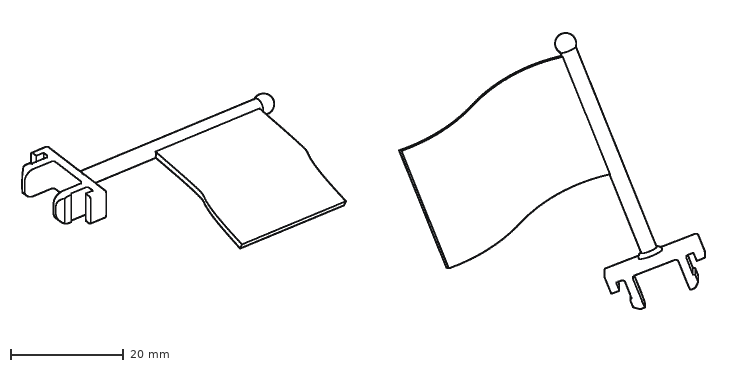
import cadquery as cq
import math


base_width = 18.0
base_depth = 5.9
plate_thickness = 2.05
skirt_length = 3.65
skirt_thickness = 1.6
base_round = 0.5

leg_inner = 4.35
leg_outer = 5.9
leg_length = 8.5
leg_root_round = 0.5
barb_outer = 6.25
barb_start = 5.75
barb_full = 5.95
barb_taper_start = 7.4
leg_tip_outer = 5.1
leg_corner_round = 1.95

pole_radius = 1.5
collar_radius = 2.25
ball_radius = 1.9
overall_length = 51.6
overall_width = 43.85
ball_center = overall_length - leg_length - ball_radius

flag_thickness = 1.25
flag_end = overall_width - base_width / 2
flag_height = 23.0
bend_radius = 22.2
bend_peak_x = 26.2
bend_joint_x = 17.45
bend_top = base_depth / 2
edge_radius = 25.55
edge_crest_x = 7.0
edge_joint_x = 19.35
edge_crest_y = 39.9
edge_overrun = 2.6


def make_base():
    plate = (
        cq.Workplane("XY")
        .box(base_width, skirt_length, base_depth)
        .translate((0, -skirt_length / 2, 0))
        .edges("|Y or >Y")
        .fillet(base_round)
    )
    recess_depth = skirt_length - plate_thickness
    recess = cq.Workplane("XY").box(base_width - 2 * skirt_thickness, recess_depth, base_depth)
    return plate.cut(recess.translate((0, -plate_thickness - recess_depth / 2, 0)))


def make_leg():
    """Snap leg on the +X side, with flared roots, a barb and rounded free corners."""
    root_y = -plate_thickness
    overlap_y = root_y / 2
    leg = (
        cq.Workplane("XY")
        .moveTo(leg_inner - leg_root_round, overlap_y)
        .lineTo(leg_inner - leg_root_round, root_y)
        .radiusArc((leg_inner, root_y - leg_root_round), leg_root_round)
        .lineTo(leg_inner, -leg_length)
        .lineTo(leg_tip_outer, -leg_length)
        .lineTo(barb_outer, -barb_taper_start)
        .lineTo(barb_outer, -barb_full)
        .lineTo(leg_outer, -barb_start)
        .lineTo(leg_outer, root_y - leg_root_round)
        .radiusArc((leg_outer + leg_root_round, root_y), leg_root_round)
        .lineTo(leg_outer + leg_root_round, overlap_y)
        .close()
        .extrude(base_depth / 2, both=True)
    )
    rounded_side = (
        cq.Workplane("XY")
        .box(base_width / 2, leg_length, base_depth)
        .translate((base_width / 4, -leg_length / 2, 0))
        .edges("|X and <Y")
        .fillet(leg_corner_round)
    )
    return leg.intersect(rounded_side)


def make_pole():
    pole = cq.Workplane("XZ").circle(pole_radius).extrude(-ball_center)
    collar_round = collar_radius - pole_radius
    collar = (
        cq.Workplane("XY")
        .lineTo(collar_radius, 0)
        .radiusArc((pole_radius, collar_round), -collar_round)
        .lineTo(0, collar_round)
        .close()
        .revolve(360, (0, 0, 0), (0, 1, 0))
    )
    ball = cq.Workplane("XY").sphere(ball_radius).translate((0, ball_center, 0))
    return pole.union(collar).union(ball)


def arc_point(center, radius, angle):
    """Point on a circle, with the angle measured from straight up towards +X."""
    return (center[0] + radius * math.sin(angle), center[1] + radius * math.cos(angle))


def make_bent_sheet():
    """Sheet with a trough by the pole and a crest beyond it, ending square to its bend."""
    half = flag_thickness / 2
    crest_center = (bend_peak_x, bend_top - half - bend_radius)
    joint_angle = -math.asin((bend_peak_x - bend_joint_x) / bend_radius)
    end_angle = math.asin((flag_end - bend_peak_x) / (bend_radius + half))
    trough_center = arc_point(crest_center, 2 * bend_radius, joint_angle)
    trough_end_angle = joint_angle + math.pi
    trough_start_angle = math.pi + math.asin(trough_center[0] / bend_radius)
    trough_mid_angle = (trough_start_angle + trough_end_angle) / 2
    crest_mid_angle = (joint_angle + end_angle) / 2

    crest_outer = bend_radius + half
    crest_inner = bend_radius - half
    return (
        cq.Workplane("XZ")
        .moveTo(*arc_point(trough_center, crest_inner, trough_start_angle))
        .threePointArc(
            arc_point(trough_center, crest_inner, trough_mid_angle),
            arc_point(trough_center, crest_inner, trough_end_angle),
        )
        .threePointArc(
            arc_point(crest_center, crest_outer, crest_mid_angle),
            arc_point(crest_center, crest_outer, end_angle),
        )
        .lineTo(*arc_point(crest_center, crest_inner, end_angle))
        .threePointArc(
            arc_point(crest_center, crest_inner, crest_mid_angle),
            arc_point(crest_center, crest_inner, joint_angle),
        )
        .threePointArc(
            arc_point(trough_center, crest_outer, trough_mid_angle),
            arc_point(trough_center, crest_outer, trough_start_angle),
        )
        .close()
        .extrude(-overall_length)
    )


def make_wavy_outline():
    """Flag outline seen along Z; both long edges follow the same wave."""
    half_wave = edge_joint_x - edge_crest_x
    edge_drop = edge_radius - math.sqrt(edge_radius**2 - half_wave**2)
    trough_x = edge_joint_x + half_wave
    trough_y = edge_crest_y - 2 * edge_drop
    outline_end = flag_end + edge_overrun

    def crest_y(x):
        return edge_crest_y - edge_radius + math.sqrt(edge_radius**2 - (x - edge_crest_x) ** 2)

    def trough_edge_y(x):
        return trough_y + edge_radius - math.sqrt(edge_radius**2 - (x - trough_x) ** 2)

    start = (0, crest_y(0))
    joint = (edge_joint_x, crest_y(edge_joint_x))
    end = (outline_end, trough_edge_y(outline_end))
    return (
        cq.Workplane("XY")
        .moveTo(*start)
        .threePointArc((edge_crest_x, edge_crest_y), joint)
        .threePointArc((trough_x, trough_y), end)
        .line(0, -flag_height)
        .threePointArc((trough_x, trough_y - flag_height), (joint[0], joint[1] - flag_height))
        .threePointArc((edge_crest_x, edge_crest_y - flag_height), (start[0], start[1] - flag_height))
        .close()
        .extrude(base_depth, both=True)
    )


leg = make_leg()
flag = make_bent_sheet().intersect(make_wavy_outline())
result = make_base().union(leg).union(leg.mirror("YZ")).union(make_pole()).union(flag)